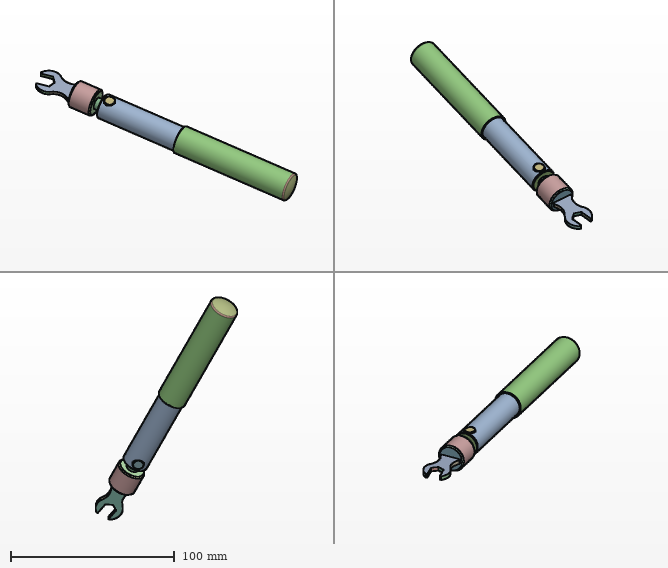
import cadquery as cq
import math

total_length = 178.3
tip_x = -total_length / 2
end_x = total_length / 2

collar_diameter = 17.5
collar_start_x = -63.7
collar_end_x = -48.1
collar_chamfer = 0.9
neck_diameter = 7.7

barrel_diameter = 16.0
barrel_start_x = -43.9
barrel_chamfer = 0.5
grip_diameter = 18.0
grip_start_x = 10.5
dome_height = 2.0
grip_end_fillet = 1.0

pin_x = -39.0
pin_diameter = 6.2
pin_length = barrel_diameter
pin_hole_diameter = 7.1

neck_end_x = pin_x + neck_diameter / 2

plate_thickness = 2.7
jaw_radius = 8.4
jaw_tip_y = 3.5
jaw_center_x = tip_x + math.sqrt(jaw_radius**2 - jaw_tip_y**2)
shoulder_offset = 4.3
shoulder_x = jaw_center_x + shoulder_offset
waist_x = -69.9
waist_half_width = 4.6
root_x = -64.9
root_half_width = 6.5

mouth_width = 8.0
mouth_center_x = -82.5
mouth_angle = 11.0

cut_reach = 35.7


def x_cylinder(diameter, start_x, length):
    """Round bar along the X axis."""
    return cq.Workplane("YZ", origin=(start_x, 0, 0)).circle(diameter / 2).extrude(length)


def z_cylinder(diameter, length):
    """Round bar along Z, centred on the pin position."""
    return cq.Workplane("XY", origin=(pin_x, 0, 0)).circle(diameter / 2).extrude(length / 2, both=True)


def make_collar():
    """Round collar with both rims chamfered."""
    collar = x_cylinder(collar_diameter, collar_start_x, collar_end_x - collar_start_x)
    return collar.faces("<X or >X").chamfer(collar_chamfer)


def make_plate_blank():
    """Flat wrench outline: round jaw, narrow waist and a root buried in the collar."""
    shoulder_y = math.sqrt(jaw_radius**2 - shoulder_offset**2)
    buried_x = collar_start_x + collar_chamfer
    return (
        cq.Workplane("XY")
        .moveTo(shoulder_x, shoulder_y)
        .threePointArc((waist_x, waist_half_width), (root_x, root_half_width))
        .lineTo(buried_x, root_half_width)
        .lineTo(buried_x, -root_half_width)
        .lineTo(root_x, -root_half_width)
        .threePointArc((waist_x, -waist_half_width), (shoulder_x, -shoulder_y))
        .threePointArc((jaw_center_x - jaw_radius, 0), (shoulder_x, shoulder_y))
        .close()
        .extrude(plate_thickness / 2, both=True)
    )


def make_mouth():
    """Hexagonal seat with an open throat of the same width across flats."""
    corner_diameter = mouth_width / math.cos(math.pi / 6)
    hexagon = cq.Workplane("XY").polygon(6, corner_diameter)
    seat = hexagon.extrude(plate_thickness, both=True)
    throat = cq.Workplane("XY").box(cut_reach, mouth_width, 2 * plate_thickness)
    throat = throat.translate((-cut_reach / 2, 0, 0))
    mouth = seat.union(throat).rotate((0, 0, 0), (0, 0, 1), mouth_angle)
    return mouth.translate((mouth_center_x, 0, 0))


def make_tip_trim():
    """Block that squares off both jaw tips at right angles to the mouth."""
    block = cq.Workplane("XY").box(cut_reach, cut_reach, 2 * plate_thickness)
    block = block.translate((-cut_reach / 2, 0, 0)).rotate((0, 0, 0), (0, 0, 1), mouth_angle)
    return block.translate((tip_x, jaw_tip_y, 0))


def make_head():
    """Wrench plate, collar, neck and cross pin in one piece."""
    plate = make_plate_blank().cut(make_mouth()).cut(make_tip_trim())
    neck = x_cylinder(neck_diameter, collar_end_x, neck_end_x - collar_end_x)
    pin = z_cylinder(pin_diameter, pin_length)
    return make_collar().union(plate).union(neck).union(pin)


def make_handle_blank():
    """Barrel and domed grip, turned about the X axis."""
    barrel_radius = barrel_diameter / 2
    grip_radius = grip_diameter / 2
    dome_start_x = end_x - dome_height
    dome_radius = (grip_radius**2 + dome_height**2) / (2 * dome_height)
    dome_mid_r = grip_radius / 2
    dome_mid_x = end_x - dome_radius + math.sqrt(dome_radius**2 - dome_mid_r**2)
    blank = (
        cq.Workplane("XY")
        .moveTo(barrel_start_x, 0)
        .lineTo(barrel_start_x, barrel_radius - barrel_chamfer)
        .lineTo(barrel_start_x + barrel_chamfer, barrel_radius)
        .lineTo(grip_start_x, barrel_radius)
        .lineTo(grip_start_x, grip_radius)
        .lineTo(dome_start_x, grip_radius)
        .threePointArc((dome_mid_x, dome_mid_r), (end_x, 0))
        .close()
        .revolve(360, (0, 0, 0), (1, 0, 0))
    )
    dome_rim = cq.selectors.NearestToPointSelector((dome_start_x, 0, 0))
    return blank.edges(dome_rim).fillet(grip_end_fillet)


def make_handle():
    """Handle bored for the neck and drilled through for the cross pin."""
    neck_bore = x_cylinder(neck_diameter, barrel_start_x, neck_end_x - barrel_start_x)
    pin_hole = z_cylinder(pin_hole_diameter, cut_reach)
    return make_handle_blank().cut(neck_bore).cut(pin_hole)


head = make_head()
handle = make_handle()
result = cq.Compound.makeCompound([head.val(), handle.val()])